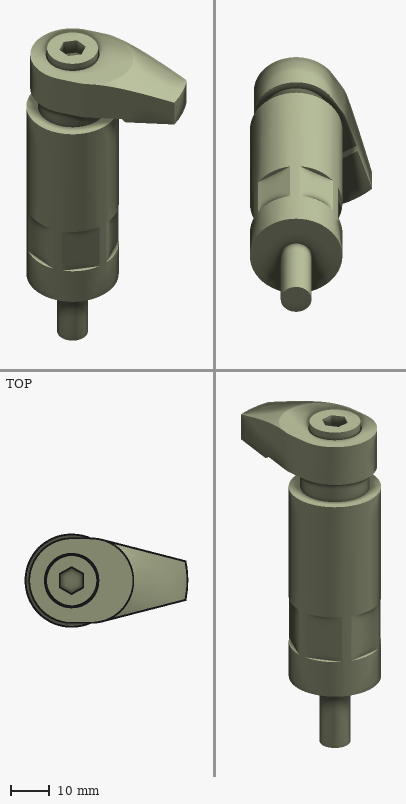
import cadquery as cq
import math

housing_bottom = 19.0
flats_bottom = 29.0
flats_top = 41.9
housing_top = 74.0
lever_bottom = 80.0
lever_top = 91.0
spindle_top = 93.0

housing_radius = 12.0
flats_count = 6
flats_apothem = 11.0

pin_radius = 4.0
neck_radius = 9.0
head_radius = 6.6
socket_across_flats = 6.0
socket_depth = 4.0

bore_radius = 7.0
hub_radius = 11.0
nose_x = 5.0
tip_x = 30.0
tip_half_width = 5.0
tip_top = 86.1
tip_bottom = 79.0
step_start_x = 16.3
step_end_x = 17.2


def make_housing():
    """Sleeve with a band of six wrench flats, one of them facing -X."""
    sleeve = (
        cq.Workplane("XY")
        .workplane(offset=housing_bottom)
        .circle(housing_radius)
        .circle(pin_radius)
        .extrude(housing_top - housing_bottom)
    )
    hexagon_diameter = 2 * flats_apothem / math.cos(math.pi / flats_count)
    flats_waste = (
        cq.Workplane("XY")
        .workplane(offset=flats_bottom)
        .circle(2 * housing_radius)
        .extrude(flats_top - flats_bottom)
        .cut(
            cq.Workplane("XY")
            .workplane(offset=flats_bottom)
            .transformed(rotate=(0, 0, 180 / flats_count))
            .polygon(flats_count, hexagon_diameter)
            .extrude(flats_top - flats_bottom)
        )
    )
    return sleeve.cut(flats_waste)


def make_spindle():
    """Pin through the housing, with a neck that carries the lever and a hex socket head."""
    spindle = (
        cq.Workplane("XZ")
        .moveTo(0, 0)
        .lineTo(pin_radius, 0)
        .lineTo(pin_radius, housing_top)
        .lineTo(neck_radius, housing_top)
        .lineTo(neck_radius, lever_bottom)
        .lineTo(head_radius, lever_bottom)
        .lineTo(head_radius, spindle_top)
        .lineTo(0, spindle_top)
        .close()
        .revolve(360, (0, 0, 0), (0, 1, 0))
    )
    socket = (
        cq.Workplane("XY")
        .workplane(offset=spindle_top - socket_depth)
        .transformed(rotate=(0, 0, 30))
        .polygon(6, socket_across_flats / math.cos(math.pi / 6))
        .extrude(socket_depth)
    )
    return spindle.cut(socket)


def lever_outline():
    """Plan shape: hub, two sides tapering tangentially off the nose arc, rounded tip."""
    tip_radius = tip_x - nose_x
    corner_dx = math.sqrt(tip_radius**2 - tip_half_width**2)
    touch_angle = math.atan2(tip_half_width, corner_dx) + math.acos(hub_radius / tip_radius)
    middle_angle = (touch_angle + math.pi / 2) / 2

    def on_nose_arc(angle, side):
        return (nose_x + hub_radius * math.cos(angle), side * hub_radius * math.sin(angle))

    return (
        cq.Workplane("XY")
        .workplane(offset=tip_bottom)
        .moveTo(0, hub_radius)
        .threePointArc((-hub_radius, 0), (0, -hub_radius))
        .lineTo(nose_x, -hub_radius)
        .threePointArc(on_nose_arc(middle_angle, -1), on_nose_arc(touch_angle, -1))
        .lineTo(nose_x + corner_dx, -tip_half_width)
        .threePointArc((tip_x, 0), (nose_x + corner_dx, tip_half_width))
        .lineTo(*on_nose_arc(touch_angle, 1))
        .threePointArc(on_nose_arc(middle_angle, 1), (nose_x, hub_radius))
        .close()
    )


def lever_slope_waste():
    """Half ring, on the tip side of the nose centre, above the cone that falls to the tip."""
    slope = (lever_top - tip_top) / (tip_x - nose_x - hub_radius)
    outer_radius = 2 * (tip_x - nose_x)
    outer_z = lever_top - slope * (outer_radius - hub_radius)
    ring = (
        cq.Workplane("XZ", origin=(nose_x, 0, 0))
        .moveTo(hub_radius, lever_top)
        .lineTo(outer_radius, outer_z)
        .lineTo(outer_radius, lever_top)
        .close()
        .revolve(360, (0, 0, 0), (0, 1, 0))
    )
    tip_side = cq.Workplane("XY", origin=(nose_x, 0, 0)).box(
        outer_radius, 2 * outer_radius, lever_top, centered=(False, True, False)
    )
    return ring.intersect(tip_side)


def lever_underside_waste():
    """Material below the hub, ending in the ramp to the grip."""
    return (
        cq.Workplane("XZ")
        .moveTo(-2 * hub_radius, tip_bottom)
        .lineTo(step_end_x, tip_bottom)
        .lineTo(step_start_x, lever_bottom)
        .lineTo(-2 * hub_radius, lever_bottom)
        .close()
        .extrude(2 * hub_radius, both=True)
    )


def make_lever():
    """Handle resting on the neck, with a clearance bore around the spindle head."""
    blank = lever_outline().extrude(lever_top - tip_bottom)
    bore = (
        cq.Workplane("XY")
        .workplane(offset=tip_bottom)
        .circle(bore_radius)
        .extrude(lever_top - tip_bottom)
    )
    return blank.cut(lever_slope_waste()).cut(lever_underside_waste()).cut(bore)


housing = make_housing()
spindle = make_spindle()
lever = make_lever()

result = cq.Compound.makeCompound([housing.val(), spindle.val(), lever.val()])